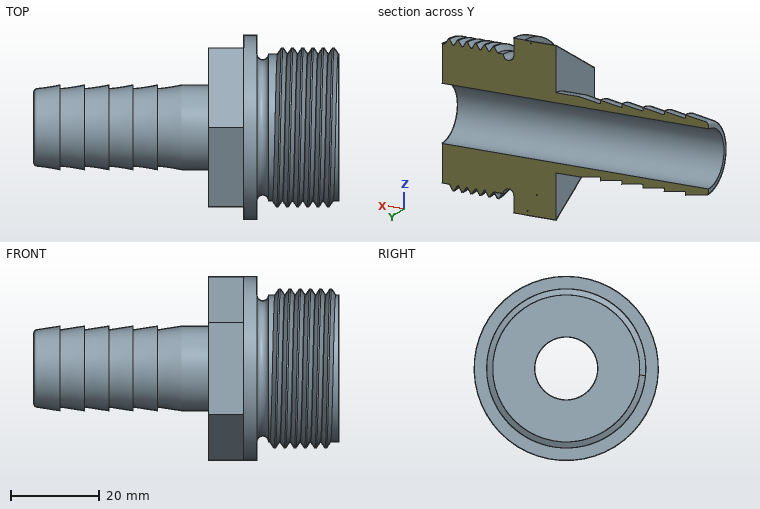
import cadquery as cq
import math

total_length = 69.0
hex_start = 39.5
hex_length = 8.0
flange_length = 3.0
flange_start = hex_start + hex_length
flange_end = flange_start + flange_length

bore_radius = 7.1
barb_root_radius = 8.8
barb_crest_radius = 9.6
barb_count = 6
barb_pitch = 5.5
barb_root_land = 0.4
tip_rounding = 0.9
first_crest_x = 6.0

hex_across_flats = 36.0
flange_radius = 41.7 / 2

core_radius = 33.25 / 2
relief_radius = 1.3
thread_crest_radius = 18.0
thread_pitch = 2.309
thread_start_x = 54.5
thread_end_gap = 0.05
thread_base_width = 2.2
thread_crest_width = 0.35
thread_embed = 0.06


def make_turned_body():
    """Revolve the hose tail, flange and thread core about the X axis."""
    profile = (
        cq.Workplane("XZ")
        .lineTo(0, barb_root_radius - tip_rounding)
        .radiusArc((tip_rounding, barb_root_radius), tip_rounding)
    )
    for barb in range(barb_count):
        crest_x = first_crest_x + barb * barb_pitch
        profile = profile.lineTo(crest_x, barb_crest_radius)
        if barb < barb_count - 1:
            profile = profile.lineTo(crest_x, barb_root_radius)
            profile = profile.lineTo(crest_x + barb_root_land, barb_root_radius)

    relief_bottom = (flange_end + relief_radius, core_radius - relief_radius)
    relief_end = (flange_end + 2 * relief_radius, core_radius)
    return (
        profile
        .lineTo(flange_start, barb_crest_radius)
        .lineTo(flange_start, flange_radius)
        .lineTo(flange_end, flange_radius)
        .lineTo(flange_end, core_radius)
        .radiusArc(relief_bottom, -relief_radius)
        .radiusArc(relief_end, -relief_radius)
        .lineTo(total_length, core_radius)
        .lineTo(total_length, 0)
        .close()
        .revolve(360, (0, 0, 0), (1, 0, 0))
    )


def make_hexagon():
    """Wrench hexagon with two corners on the Z axis and flats facing +Y and -Y."""
    corner_diameter = hex_across_flats / math.cos(math.radians(30))
    return (
        cq.Workplane("YZ", origin=(hex_start, 0, 0))
        .transformed(rotate=(0, 0, 90))
        .polygon(6, corner_diameter)
        .extrude(hex_length)
    )


def make_thread():
    """Left-hand ridge, swept along Z and then turned onto the X axis to start at -Z."""
    half_crest = thread_crest_width / 2
    flank_slope = (thread_base_width / 2 - half_crest) / (thread_crest_radius - core_radius)
    root_radius = core_radius - thread_embed
    half_root = half_crest + flank_slope * (thread_crest_radius - root_radius)
    helix_length = total_length - thread_end_gap - half_root - thread_start_x
    helix = cq.Wire.makeHelix(thread_pitch, helix_length, root_radius, lefthand=True)
    return (
        cq.Workplane("XZ")
        .moveTo(root_radius, -half_root)
        .lineTo(thread_crest_radius, -half_crest)
        .lineTo(thread_crest_radius, half_crest)
        .lineTo(root_radius, half_root)
        .close()
        .sweep(cq.Workplane(obj=helix), isFrenet=True)
        .rotate((0, 0, 0), (0, 1, 0), 90)
        .translate((thread_start_x, 0, 0))
    )


def make_bore():
    """Straight through bore along the X axis."""
    return cq.Workplane("YZ").circle(bore_radius).extrude(total_length)


result = make_turned_body().union(make_hexagon()).union(make_thread()).cut(make_bore())